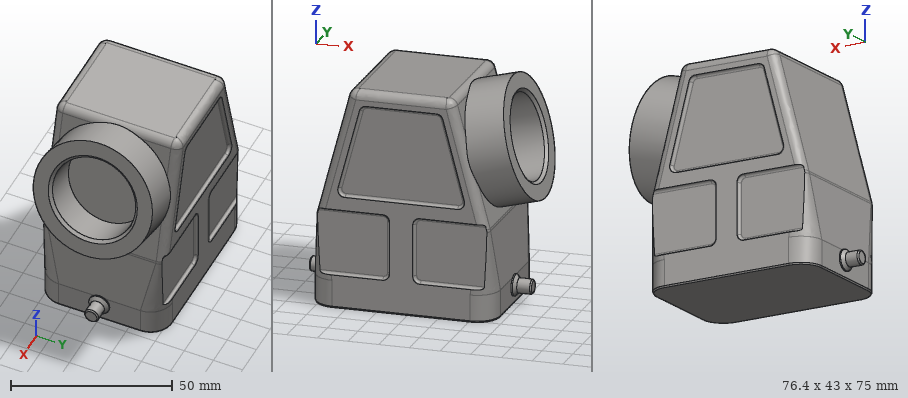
import cadquery as cq
import math

body_width = 43.0
body_height = 72.0
base_half_length = 30.0
base_height = 9.0
knee_height = 30.0
knee_half_length = 28.2
lean = 15.0
base_corner_radius = 7.5
head_corner_radius = 3.0
crown_radius = 2.9
rim_height = 0.5
rim_inset = 0.3
knee_radius = 4.0
top_half_length = knee_half_length - (body_height - knee_height) * math.tan(math.radians(lean))

neck_diameter = 40.6
neck_bore = 28.3
neck_length = 13.0
neck_embed = 3.0
neck_center_height = 55.4
neck_face_x = 34.9
bore_chamfer = 1.0

pin_diameter = 4.8
pin_tip_diameter = 4.0
pin_tip_x = 36.2
pin_tip_chamfer = 0.45
pin_height = 6.0
collar_diameter = 7.0
collar_rim_x = 30.5
collar_end_x = 31.55
pin_root_x = 26.7

panel_depth = 1.2
panel_floor_radius = 0.9
panel_corner_radius = 2.3
label_bottom = 36.7
label_top = 67.2
label_top_half_length = 13.1
grip_bottom = 10.8
grip_top = 32.2
grip_inner_x = 3.8
grip_overrun = 7.6


def section(height, half_length, radius):
    """Rounded rectangular outline of the body at one height."""
    return (
        cq.Sketch()
        .rect(2 * half_length, body_width)
        .vertices()
        .fillet(radius)
        .moved(cq.Location(cq.Vector(0, 0, height)))
    )


def tapered_block(lower, upper):
    """Ruled solid between two outlines."""
    return cq.Workplane("XY").placeSketch(lower, upper).loft(ruled=True)


def make_body():
    base_outline = section(0, base_half_length, base_corner_radius)
    shoulder = section(base_height, base_half_length, base_corner_radius)
    knee = section(knee_height, knee_half_length, head_corner_radius)
    top = section(body_height, top_half_length, head_corner_radius)
    base = cq.Workplane("XY").placeSketch(base_outline).extrude(base_height)
    base = base.faces("<Z").chamfer(rim_height, rim_inset)
    head = tapered_block(knee, top).faces(">Z").edges().fillet(crown_radius)
    body = base.union(tapered_block(shoulder, knee)).union(head)
    knee_edges = cq.selectors.BoxSelector(
        (-base_half_length, -body_width, knee_height - knee_radius),
        (base_half_length, body_width, knee_height + knee_radius),
    )
    return body.edges(knee_edges).edges("|Y").fillet(knee_radius)


def make_neck_and_bore():
    """Solid neck and the bore to cut from it, both along the leaning neck axis."""
    angle = math.radians(lean)
    mouth = cq.Plane(
        origin=(neck_face_x, 0, neck_center_height),
        xDir=(0, 1, 0),
        normal=(math.cos(angle), 0, math.sin(angle)),
    )
    neck = cq.Workplane(mouth).circle(neck_diameter / 2).extrude(-neck_length - neck_embed)
    bore = cq.Workplane(mouth).circle(neck_bore / 2).extrude(-neck_length)
    flare = (
        cq.Workplane(mouth)
        .circle(neck_bore / 2 + bore_chamfer)
        .workplane(offset=-bore_chamfer)
        .circle(neck_bore / 2)
        .loft()
    )
    return neck, bore.union(flare)


def make_pin():
    """Pin on the +X end with a conical collar against the wall."""
    return (
        cq.Workplane("XY")
        .moveTo(pin_root_x, 0)
        .lineTo(pin_root_x, collar_diameter / 2)
        .lineTo(collar_rim_x, collar_diameter / 2)
        .lineTo(collar_end_x, pin_diameter / 2)
        .lineTo(pin_tip_x - pin_tip_chamfer, pin_diameter / 2)
        .lineTo(pin_tip_x, pin_tip_diameter / 2)
        .lineTo(pin_tip_x, 0)
        .close()
        .revolve(360, (0, 0, 0), (1, 0, 0))
        .translate((0, 0, pin_height))
    )


def panel_recess(corners):
    """Rounded pocket with a coved floor edge, cut into the -Y side."""
    outline = cq.Sketch().polygon(corners + corners[:1]).vertices().fillet(panel_corner_radius)
    return (
        cq.Workplane("XZ", origin=(0, -body_width / 2, 0))
        .placeSketch(outline)
        .extrude(-panel_depth)
        .faces(">Y")
        .edges()
        .fillet(panel_floor_radius)
    )


def make_recesses():
    label_spread = (label_top - label_bottom) * math.tan(math.radians(lean))
    label_bottom_half_length = label_top_half_length + label_spread
    label = panel_recess([
        (-label_bottom_half_length, label_bottom),
        (label_bottom_half_length, label_bottom),
        (label_top_half_length, label_top),
        (-label_top_half_length, label_top),
    ])
    grip_outer_x = base_half_length + grip_overrun
    grip = panel_recess([
        (grip_inner_x, grip_bottom),
        (grip_outer_x, grip_bottom),
        (grip_outer_x, grip_top),
        (grip_inner_x, grip_top),
    ])
    return label.union(grip).union(grip.mirror("YZ"))


neck, bore = make_neck_and_bore()
pin = make_pin()
recesses = make_recesses()

result = make_body().union(neck).cut(bore)
result = result.cut(recesses).cut(recesses.mirror("XZ"))
result = result.union(pin).union(pin.mirror("YZ"))